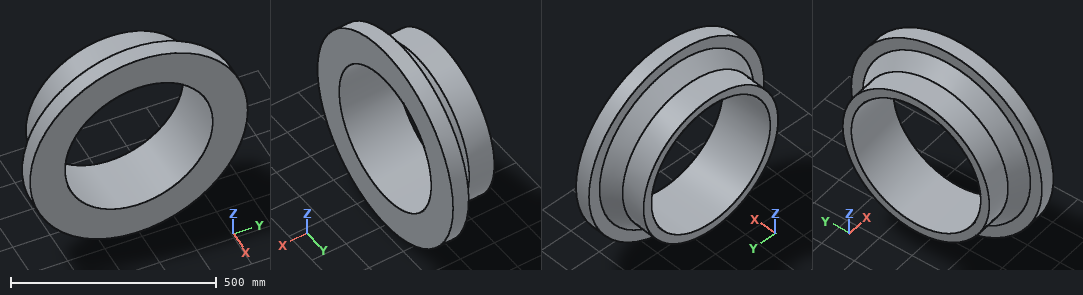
import cadquery as cq

total_length = 168.0
flange_thickness = 46.0
collar_length = 74.5
flange_diameter = 585.0
cone_diameter = 514.0
collar_diameter = 450.0
bore_diameter = 396.5

flange_start = total_length - flange_thickness

half_section = [
    (0, bore_diameter / 2),
    (0, collar_diameter / 2),
    (collar_length, collar_diameter / 2),
    (flange_start, cone_diameter / 2),
    (flange_start, flange_diameter / 2),
    (total_length, flange_diameter / 2),
    (total_length, bore_diameter / 2),
]

result = (
    cq.Workplane("XY")
    .polyline(half_section)
    .close()
    .revolve(360, (0, 0, 0), (1, 0, 0))
)